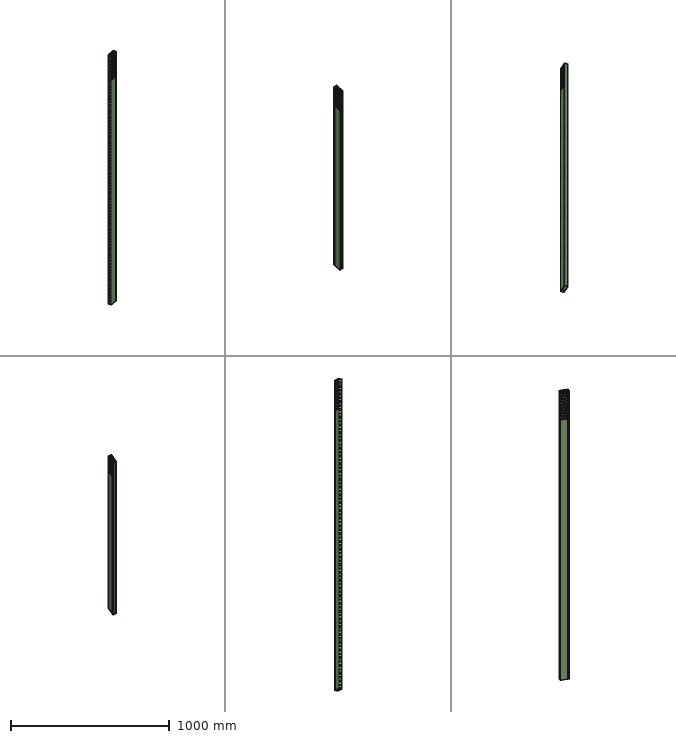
import cadquery as cq
import math

WIDTH = 25.0
DEPTH = 60.0
LENGTH = 2000.0
HALF_WIDTH = WIDTH / 2
HALF_DEPTH = DEPTH / 2
HALF_LENGTH = LENGTH / 2

WALL = 2.0
CORNER_RADIUS = 1.0

COVER_WALL = 2.0
SHOULDER_Y = 20.0
SHOULDER_ANGLE = 30.0
COVER_RIM_Y = SHOULDER_Y + COVER_WALL / math.tan(math.radians(SHOULDER_ANGLE))
SEAT_HALF_WIDTH = HALF_WIDTH - COVER_WALL
COVER_INNER_Y = HALF_DEPTH - COVER_WALL

HOLE_PITCH = 50.0
LONG_HOLE_LENGTH = 14.0
LONG_HOLE_WIDTH = 7.0
ROUND_HOLE_DIAMETER = 7.5
FIRST_LONG_HOLE_OFFSET = 1.5
FIRST_LONG_HOLE_Z = -HALF_LENGTH + FIRST_LONG_HOLE_OFFSET
FIRST_ROUND_HOLE_Z = FIRST_LONG_HOLE_Z + HOLE_PITCH / 2
LONG_HOLE_COUNT = 41
ROUND_HOLE_COUNT = 40

SLOT_COUNT = 10
SLOT_PITCH = 20.0
SLOT_WIDTH = 8.0
SLOT_START_Y = -23.0
SLOT_TIP_Y = SHOULDER_Y + 0.5
FIRST_SLOT_OFFSET = 11.0
FIRST_SLOT_Z = HALF_LENGTH - FIRST_SLOT_OFFSET


def extrude_along_duct(section):
    return section.extrude(HALF_LENGTH, both=True)


def wall_points(side):
    """Outer line of one side wall, from the floor up to its free edge (side is +1 or -1)."""
    return [
        (side * HALF_WIDTH, -HALF_DEPTH),
        (side * HALF_WIDTH, SHOULDER_Y),
        (side * SEAT_HALF_WIDTH, COVER_RIM_Y),
        (side * SEAT_HALF_WIDTH, COVER_INNER_Y),
    ]


def wall_inner_points(side):
    """Inner line of the same wall, offset from the outer line by the wall thickness."""
    bend_shift = WALL * math.tan(math.radians(SHOULDER_ANGLE / 2))
    return [
        (side * (HALF_WIDTH - WALL), WALL - HALF_DEPTH),
        (side * (HALF_WIDTH - WALL), SHOULDER_Y - bend_shift),
        (side * (SEAT_HALF_WIDTH - WALL), COVER_RIM_Y - bend_shift),
        (side * (SEAT_HALF_WIDTH - WALL), COVER_INNER_Y),
    ]


def make_duct_blank():
    outline = (
        wall_points(1)
        + wall_inner_points(1)[::-1]
        + wall_inner_points(-1)
        + wall_points(-1)[::-1]
    )
    blank = extrude_along_duct(cq.Workplane("XY").polyline(outline).close())
    return blank.edges("|Z and <Y").fillet(CORNER_RADIUS)


def floor_plane():
    """Inner face of the floor; extruding from it goes outward through the floor."""
    return cq.Workplane("XZ", origin=(0, WALL - HALF_DEPTH, 0))


def make_floor_hole_cutters():
    long_centres = [(0, FIRST_LONG_HOLE_Z + i * HOLE_PITCH) for i in range(LONG_HOLE_COUNT)]
    round_centres = [(0, FIRST_ROUND_HOLE_Z + i * HOLE_PITCH) for i in range(ROUND_HOLE_COUNT)]
    long_holes = (
        floor_plane()
        .pushPoints(long_centres)
        .slot2D(LONG_HOLE_LENGTH, LONG_HOLE_WIDTH, 90)
        .extrude(WALL)
    )
    round_holes = (
        floor_plane()
        .pushPoints(round_centres)
        .circle(ROUND_HOLE_DIAMETER / 2)
        .extrude(WALL)
    )
    return [long_holes, round_holes]


def make_wiring_slot_cutter(z):
    """One slot with a square end near the floor and a round end at the shoulder."""
    half = SLOT_WIDTH / 2
    round_start_y = SLOT_TIP_Y - half
    return (
        cq.Workplane("YZ", origin=(0, 0, z))
        .moveTo(SLOT_START_Y, -half)
        .lineTo(round_start_y, -half)
        .threePointArc((SLOT_TIP_Y, 0), (round_start_y, half))
        .lineTo(SLOT_START_Y, half)
        .close()
        .extrude(HALF_WIDTH, both=True)
    )


def make_duct():
    duct = make_duct_blank()
    for cutter in make_floor_hole_cutters():
        duct = duct.cut(cutter)
    for i in range(SLOT_COUNT):
        duct = duct.cut(make_wiring_slot_cutter(FIRST_SLOT_Z - i * SLOT_PITCH))
    return duct


def make_cover():
    """Cap that closes the open side and laps over the seats of both side walls."""
    outline = [
        (-HALF_WIDTH, COVER_RIM_Y),
        (-HALF_WIDTH, HALF_DEPTH),
        (HALF_WIDTH, HALF_DEPTH),
        (HALF_WIDTH, COVER_RIM_Y),
        (SEAT_HALF_WIDTH, COVER_RIM_Y),
        (SEAT_HALF_WIDTH, COVER_INNER_Y),
        (-SEAT_HALF_WIDTH, COVER_INNER_Y),
        (-SEAT_HALF_WIDTH, COVER_RIM_Y),
    ]
    blank = extrude_along_duct(cq.Workplane("XY").polyline(outline).close())
    return blank.edges("|Z and >Y").fillet(CORNER_RADIUS)


duct = make_duct()
cover = make_cover()

result = cq.Compound.makeCompound([duct.val(), cover.val()])